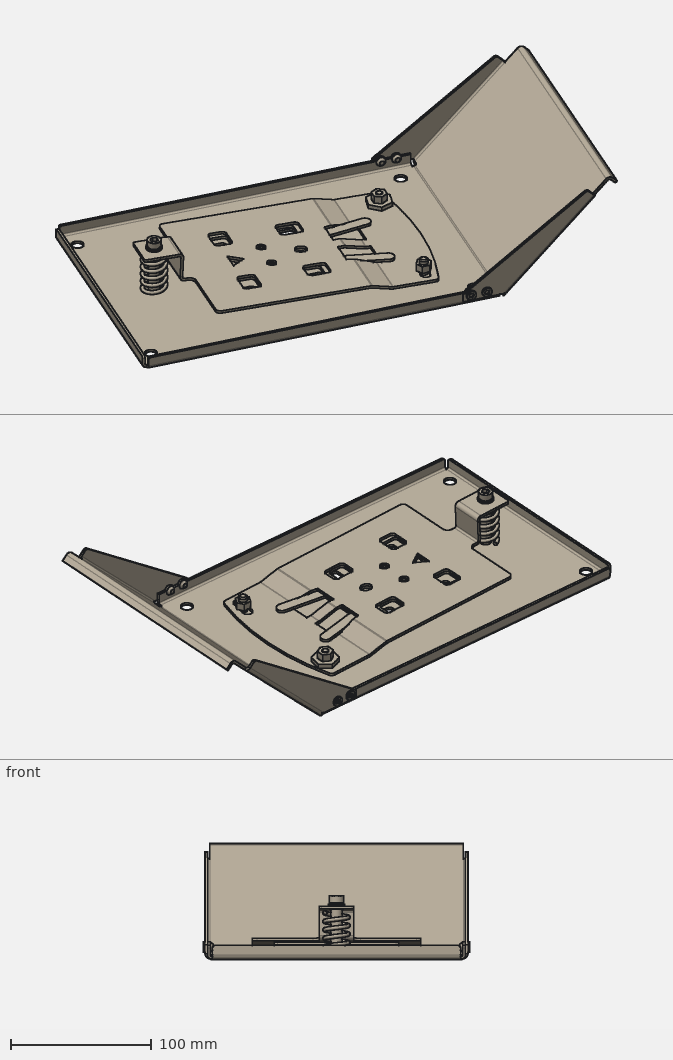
import cadquery as cq
import math

SHEET = 1.98
BEND_INSIDE = 1.5
BEND_OUTSIDE = BEND_INSIDE + SHEET
CUT_DEPTH = 72

TOTAL_LENGTH = 359.8
OVERALL_WIDTH = 190.0
TOTAL_HEIGHT = 82.7
LIP_HEIGHT = 10.0
COVER_BEND_Y = 272.5
COVER_ANGLE = 45
TRAY_HALF_WIDTH = 91.7
FLOOR_HALF_WIDTH = TRAY_HALF_WIDTH - BEND_OUTSIDE
GUSSET_HALF_WIDTH = TRAY_HALF_WIDTH + SHEET
COVER_HALF_WIDTH = GUSSET_HALF_WIDTH - BEND_OUTSIDE
FLANGE_START = BEND_OUTSIDE
FLANGE_END = 270.0
FLANGE_CORNER = 1.8
RELIEF_END = 273.0
RELIEF_HALF_WIDTH = 86.7
RELIEF_HEIGHT = 3.5
MOUNT_HOLE_DIAMETER = 9.0
MOUNT_HOLE_X = 75.0
MOUNT_HOLE_Y = (11.5, 257.0)

GUSSET_FRONT_Y = 241.8
GUSSET_FRONT_TOP = 10.5
GUSSET_BOTTOM = 4.3
GUSSET_REAR_Y = 343.0
GUSSET_REAR_HEIGHT = 9.7
GUSSET_CORNER = 2.0
RIVET_Y = (247.5, 259.5)
RIVET_Z = 9.0
RIVET_RADIUS = 3.5
RIVET_HEAD = OVERALL_WIDTH / 2 - GUSSET_HALF_WIDTH
RIVET_CORE_RADIUS = 1.8
RIVET_TAIL = 2.0

WINDOW_SIZE = 13.5
WINDOW_CORNER = 3.0
WINDOW_X = 28.0
REAR_WINDOW_Y = 152.5
FRONT_WINDOW_Y = 102.5
REAR_WINDOW_EXTRA = 4.0
FRONT_WINDOW_EXTRA = 3.2
TRAY_OPENING_X = 30.0
TRAY_OPENING_Y = (102.5, 154.7)
TRAY_OPENING_WIDTH = 22.3
TRAY_OPENING_LENGTH = 16.2

PLATE_TILT = 2.4
PLATE_REAR_Y = 244.3
PLATE_HALF_WIDTH = 60.0
PLATE_SIDE_REAR_Y = 235.5
PLATE_FRONT_Y = 67.0
PLATE_CORNER = 3.2
RAMP_REAR_Y = 200.5
RAMP_FRONT_Y = 184.2
RAMP_RISE = 4.0
LEG_Y = 56.5
TAB_FRONT_Y = 28.8
TAB_RISE = 25.2
TAB_HALF_WIDTH = 12.2
TAB_CORNER = 1.5
NECK_FILLET = 4.5

CLIP_THICKNESS = RAMP_RISE - SHEET
CLIP_HALF_WIDTH = 44.2
CLIP_FRONT_Y = 87.5
CLIP_CORNER = 2.0
SLOT_INNER_X = 4.5
SLOT_OUTER_X = 22.3
SLOT_FRONT_Y = 179.0
SLOT_REAR_Y = 204.5
FINGER_WIDTH = 8.3
FINGER_TIP_X = 24.0
FINGER_TIP_Y = 210.8

OVAL_WIDTH = 8.0
OVAL_LENGTH = 9.0
OVAL_Y = 153.0
STUB_X = 10.8
STUB_Y = 126.5
STUB_HOLE_RADIUS = 3.4
STUB_BASE_RADIUS = 3.05
STUB_TOP_RADIUS = 1.5
TRIANGLE_APEX_Y = 109.5
TRIANGLE_BASE_Y = 99.3
TRIANGLE_HALF_BASE = 6.5

STUD_X = 45.5
STUD_Y = 229.5
STUD_RADIUS = 3.2
STUD_CHAMFER = 1.0
STUD_TOP = 14.5
NUT_ACROSS_CORNERS = 11.5
NUT_HEIGHT = 5.8
NUT_SEAT = 5.0
COLLAR_ACROSS_CORNERS = 20.0
COLLAR_HEIGHT = 3.2
COLLAR_TURN = -10
RIGHT_NUT_TURN = 30
STUD_SLOT_LENGTH = 20.0
STUD_CLEARANCE = 0.5
STUD_SLOT_TURN = -9

BOLT_Y = 41.7
BOLT_RADIUS = 4.0
BOLT_FLANGE_RADIUS = 5.8
BOLT_FLANGE_BOTTOM = 38.5
BOLT_FLANGE_HEIGHT = 1.0
BOLT_HEAD_RADIUS = 5.0
BOLT_HEAD_TOP = 45.5
BOLT_HEAD_CHAMFER = 0.7
SOCKET_ACROSS_CORNERS = 5.8
SOCKET_DEPTH = 3.0
BOLT_CLEARANCE = 0.7
SPRING_OUTER_RADIUS = 9.7
SPRING_TOP = 35.0
WIRE_RADIUS = 1.5
SPRING_TURNS = 5
SPRING_START_ANGLE = 195


def left_offset(path, distance):
    """Points of an open path shifted to its left, with mitred corners."""
    directions = []
    for (x0, y0), (x1, y1) in zip(path, path[1:]):
        length = math.hypot(x1 - x0, y1 - y0)
        directions.append(((x1 - x0) / length, (y1 - y0) / length))
    shifted = []
    for i, (x, y) in enumerate(path):
        ax, ay = directions[max(i - 1, 0)]
        bx, by = directions[min(i, len(directions) - 1)]
        scale = distance / (1 + ax * bx + ay * by)
        shifted.append((x - (ay + by) * scale, y + (ax + bx) * scale))
    return shifted


def bent_sheet(path, length, plane):
    """Sheet lying to the left of a path, extruded about the plane, with rounded bends."""
    other_side = left_offset(path, SHEET)
    sheet = cq.Workplane().polyline(path + other_side[::-1]).close().extrude(length / 2, both=True)
    for i in range(1, len(path) - 1):
        (x0, y0), (x1, y1), (x2, y2) = path[i - 1:i + 2]
        turns_left = (x1 - x0) * (y2 - y1) - (y1 - y0) * (x2 - x1) > 0
        inside, outside = (other_side[i], path[i]) if turns_left else (path[i], other_side[i])
        for corner, radius in ((inside, BEND_INSIDE), (outside, BEND_OUTSIDE)):
            nearest = cq.selectors.NearestToPointSelector((*corner, 0))
            sheet = sheet.edges(nearest).fillet(radius)
    return cq.Workplane(sheet.val().moved(cq.Location(plane)))


def both_sides(body):
    """The body together with its mirror image across X = 0."""
    return body.union(body.mirror("YZ"))


def fillet_pair(body, point, radius):
    """Round the edge centred nearest to a point and the one nearest to its mirror point."""
    x, y, z = point
    for side in (x, -x):
        body = body.edges(cq.selectors.NearestToPointSelector((side, y, z))).fillet(radius)
    return body


def window_cutters(extra_length=0, extra_width=0):
    """Four rounded windows; the rear pair may be longer and the front pair wider outward."""
    rear = (
        cq.Workplane().center(WINDOW_X, REAR_WINDOW_Y + extra_length / 2)
        .rect(WINDOW_SIZE, WINDOW_SIZE + extra_length).extrude(CUT_DEPTH, both=True)
    )
    front = (
        cq.Workplane().center(WINDOW_X + extra_width / 2, FRONT_WINDOW_Y)
        .rect(WINDOW_SIZE + extra_width, WINDOW_SIZE).extrude(CUT_DEPTH, both=True)
    )
    return both_sides(rear.union(front).edges("|Z").fillet(WINDOW_CORNER))


def side_box(x_inner, y_start, y_end, z_top):
    """Cutter for everything beyond x_inner on both sides, up to z_top."""
    box = cq.Workplane().box(
        CUT_DEPTH, y_end - y_start, z_top + CUT_DEPTH, centered=False
    ).translate((x_inner, y_start, -CUT_DEPTH))
    return both_sides(box)


def make_spine():
    """Front lip, floor and hooked cover, bent from one strip."""
    crest_z = TOTAL_HEIGHT - BEND_OUTSIDE + BEND_INSIDE * math.sqrt(2)
    crest_y = COVER_BEND_Y + crest_z
    tip_y = TOTAL_LENGTH - SHEET / math.sqrt(2)
    path = [
        (0, LIP_HEIGHT),
        (0, 0),
        (COVER_BEND_Y, 0),
        (crest_y, crest_z),
        (tip_y, crest_z - (tip_y - crest_y)),
    ]
    spine = bent_sheet(path, 2 * COVER_HALF_WIDTH, cq.Plane.named("YZ"))
    spine = spine.cut(side_box(FLOOR_HALF_WIDTH, -3.5, FLANGE_END, LIP_HEIGHT + 3.5))
    return fillet_pair(spine, (FLOOR_HALF_WIDTH, SHEET / 2, LIP_HEIGHT), FLANGE_CORNER)


def make_channel():
    """Floor with a low flange on each side."""
    path = [
        (-TRAY_HALF_WIDTH, LIP_HEIGHT),
        (-TRAY_HALF_WIDTH, 0),
        (TRAY_HALF_WIDTH, 0),
        (TRAY_HALF_WIDTH, LIP_HEIGHT),
    ]
    middle = (FLANGE_START + FLANGE_END) / 2
    channel = bent_sheet(
        path, FLANGE_END - FLANGE_START, cq.Plane.named("XZ", origin=(0, middle, 0))
    )
    return channel.faces("<Y").edges("|X and >Z").fillet(FLANGE_CORNER)


def make_gussets():
    """Side walls of the cover, bent up square to it and trimmed to their outline."""
    tall = GUSSET_REAR_Y
    path = [
        (-GUSSET_HALF_WIDTH, tall),
        (-GUSSET_HALF_WIDTH, 0),
        (GUSSET_HALF_WIDTH, 0),
        (GUSSET_HALF_WIDTH, tall),
    ]
    slope = cq.Plane.named("XZ", origin=(0, COVER_BEND_Y, 0)).rotated((COVER_ANGLE, 0, 0))
    walls = bent_sheet(path, 2 * TOTAL_LENGTH, slope)
    rear_shift = GUSSET_REAR_HEIGHT / math.sqrt(2)
    rear_z = GUSSET_REAR_Y - COVER_BEND_Y
    rear_top = (GUSSET_REAR_Y - rear_shift, rear_z + rear_shift)
    outline = (
        cq.Workplane("YZ")
        .polyline([
            (GUSSET_FRONT_Y, GUSSET_BOTTOM),
            (RELIEF_END, GUSSET_BOTTOM),
            (RELIEF_END, RELIEF_END - COVER_BEND_Y),
            (GUSSET_REAR_Y, rear_z),
            rear_top,
            (GUSSET_FRONT_Y, GUSSET_FRONT_TOP),
        ])
        .close().extrude(2 * GUSSET_HALF_WIDTH, both=True)
        .edges(cq.selectors.NearestToPointSelector((0, *rear_top))).fillet(GUSSET_CORNER)
    )
    return walls.intersect(outline)


def make_rivets():
    """Blind rivets through gusset and flange: hollow outer head, tapered inner tail."""
    centres = [(y, RIVET_Z) for y in RIVET_Y]
    inner_face = TRAY_HALF_WIDTH - SHEET
    head = (
        cq.Workplane("YZ", origin=(GUSSET_HALF_WIDTH, 0, 0)).pushPoints(centres)
        .circle(RIVET_RADIUS).circle(RIVET_CORE_RADIUS).extrude(RIVET_HEAD)
    )
    taper = math.degrees(math.atan((RIVET_RADIUS - RIVET_CORE_RADIUS) / RIVET_TAIL))
    tail = (
        cq.Workplane("YZ", origin=(inner_face, 0, 0)).pushPoints(centres)
        .circle(RIVET_RADIUS).extrude(-RIVET_TAIL, taper=taper)
    )
    shank = (
        cq.Workplane("YZ", origin=(inner_face, 0, 0)).pushPoints(centres)
        .circle(RIVET_RADIUS).extrude(2 * SHEET)
    )
    return both_sides(head.union(shank).union(tail))


def make_stud(x, nut_bottom, nut_turn):
    """Stud fixed to the floor, with its nut."""
    rod = (
        cq.Workplane(origin=(x, STUD_Y, SHEET)).circle(STUD_RADIUS)
        .extrude(STUD_TOP - SHEET).faces(">Z").chamfer(STUD_CHAMFER)
    )
    nut = (
        cq.Workplane().polygon(6, NUT_ACROSS_CORNERS).extrude(NUT_HEIGHT)
        .rotate((0, 0, 0), (0, 0, 1), nut_turn).translate((x, STUD_Y, nut_bottom))
    )
    return rod.union(nut)


def make_tray():
    tray = make_spine().union(make_channel())
    tray = tray.cut(side_box(RELIEF_HALF_WIDTH, FLANGE_END, RELIEF_END, RELIEF_HEIGHT))
    tray = tray.union(make_gussets()).union(make_rivets())
    mount_points = [(x, y) for x in (-MOUNT_HOLE_X, MOUNT_HOLE_X) for y in MOUNT_HOLE_Y]
    holes = cq.Workplane().pushPoints(mount_points).circle(MOUNT_HOLE_DIAMETER / 2).extrude(SHEET)
    opening_points = [(x, y) for x in (-TRAY_OPENING_X, TRAY_OPENING_X) for y in TRAY_OPENING_Y]
    openings = (
        cq.Workplane().pushPoints(opening_points).rect(TRAY_OPENING_WIDTH, TRAY_OPENING_LENGTH)
        .extrude(SHEET).edges("|Z").fillet(WINDOW_CORNER)
    )
    tray = tray.cut(holes).cut(openings)
    tray = tray.union(make_stud(-STUD_X, NUT_SEAT + COLLAR_HEIGHT, 0))
    return tray.union(make_stud(STUD_X, NUT_SEAT, RIGHT_NUT_TURN))


def make_plate_outline():
    """Plan outline of the plate as a tall block."""
    outline = (
        cq.Workplane()
        .moveTo(-TAB_HALF_WIDTH, TAB_FRONT_Y)
        .lineTo(TAB_HALF_WIDTH, TAB_FRONT_Y)
        .lineTo(TAB_HALF_WIDTH, PLATE_FRONT_Y)
        .lineTo(PLATE_HALF_WIDTH, PLATE_FRONT_Y)
        .lineTo(PLATE_HALF_WIDTH, PLATE_SIDE_REAR_Y)
        .threePointArc((0, PLATE_REAR_Y), (-PLATE_HALF_WIDTH, PLATE_SIDE_REAR_Y))
        .lineTo(-PLATE_HALF_WIDTH, PLATE_FRONT_Y)
        .lineTo(-TAB_HALF_WIDTH, PLATE_FRONT_Y)
        .close().extrude(CUT_DEPTH, both=True)
    )
    outline = fillet_pair(outline, (TAB_HALF_WIDTH, TAB_FRONT_Y, 0), TAB_CORNER)
    outline = fillet_pair(outline, (TAB_HALF_WIDTH, PLATE_FRONT_Y, 0), NECK_FILLET)
    outline = fillet_pair(outline, (PLATE_HALF_WIDTH, PLATE_FRONT_Y, 0), PLATE_CORNER)
    return fillet_pair(outline, (PLATE_HALF_WIDTH, PLATE_SIDE_REAR_Y, 0), PLATE_CORNER)


def make_finger(height):
    """Round-ended, leaning finger of the +X side, standing on Z = 0."""
    base_x = SLOT_OUTER_X - FINGER_WIDTH / 2
    lean = math.atan2(FINGER_TIP_X - base_x, FINGER_TIP_Y - SLOT_FRONT_Y)
    reach_x = FINGER_WIDTH / 2 * math.sin(lean)
    reach_y = FINGER_WIDTH / 2 * math.cos(lean)
    return (
        cq.Workplane()
        .moveTo(base_x - FINGER_WIDTH / 2, SLOT_FRONT_Y)
        .lineTo(SLOT_OUTER_X, SLOT_FRONT_Y)
        .lineTo(FINGER_TIP_X + reach_y, FINGER_TIP_Y - reach_x)
        .threePointArc(
            (FINGER_TIP_X + reach_x, FINGER_TIP_Y + reach_y),
            (FINGER_TIP_X - reach_y, FINGER_TIP_Y + reach_x),
        )
        .close().extrude(height)
    )


def make_finger_slots():
    """Openings in the ramp: a rectangle widened to let the leaning finger through."""
    slot_length = SLOT_REAR_Y - SLOT_FRONT_Y
    middle_y = (SLOT_FRONT_Y + SLOT_REAR_Y) / 2
    rectangle = (
        cq.Workplane().center((SLOT_INNER_X + SLOT_OUTER_X) / 2, middle_y)
        .rect(SLOT_OUTER_X - SLOT_INNER_X, slot_length).extrude(CUT_DEPTH, both=True)
    )
    up_to_rear = (
        cq.Workplane().center(0, middle_y).rect(2 * PLATE_HALF_WIDTH, slot_length)
        .extrude(CUT_DEPTH, both=True)
    )
    finger_part = make_finger(CUT_DEPTH).translate((0, 0, -CUT_DEPTH / 2)).intersect(up_to_rear)
    return both_sides(rectangle.union(finger_part))


def make_symbol_openings():
    """Oval hole and triangle through plate and clip."""
    oval = (
        cq.Workplane().center(0, OVAL_Y).ellipse(OVAL_WIDTH / 2, OVAL_LENGTH / 2)
        .extrude(CUT_DEPTH)
    )
    triangle = (
        cq.Workplane()
        .polyline([
            (0, TRIANGLE_APEX_Y),
            (TRIANGLE_HALF_BASE, TRIANGLE_BASE_Y),
            (-TRIANGLE_HALF_BASE, TRIANGLE_BASE_Y),
        ])
        .close().extrude(CUT_DEPTH)
    )
    return oval.union(triangle)


def tilt_into_place(body):
    """Tip a level body about the rear edge of the plate and set that edge on the floor."""
    hinge = (0, PLATE_REAR_Y, 0)
    return body.rotate(hinge, (1, PLATE_REAR_Y, 0), -PLATE_TILT).translate((0, 0, SHEET))


def make_plate():
    path = [
        (TAB_FRONT_Y, TAB_RISE),
        (LEG_Y, TAB_RISE),
        (LEG_Y, RAMP_RISE),
        (RAMP_FRONT_Y, RAMP_RISE),
        (RAMP_REAR_Y, 0),
        (PLATE_REAR_Y, 0),
    ]
    sheet = bent_sheet(path, 2 * PLATE_HALF_WIDTH, cq.Plane.named("YZ"))
    plate = sheet.intersect(make_plate_outline()).cut(make_finger_slots())
    plate = plate.cut(window_cutters(REAR_WINDOW_EXTRA, FRONT_WINDOW_EXTRA))
    plate = plate.cut(make_symbol_openings())
    stub_holes = (
        cq.Workplane().pushPoints([(-STUB_X, STUB_Y), (STUB_X, STUB_Y)])
        .circle(STUB_HOLE_RADIUS).extrude(CUT_DEPTH)
    )
    plate = tilt_into_place(plate.cut(stub_holes))

    stud_hole_radius = STUD_RADIUS + STUD_CLEARANCE
    stud_hole = (
        cq.Workplane().center(-STUD_X, STUD_Y).circle(stud_hole_radius).extrude(CUT_DEPTH)
    )
    stud_slot = (
        cq.Workplane().center(STUD_X, STUD_Y)
        .slot2D(STUD_SLOT_LENGTH, 2 * stud_hole_radius, STUD_SLOT_TURN).extrude(CUT_DEPTH)
    )
    bolt_hole = (
        cq.Workplane().center(0, BOLT_Y).circle(BOLT_RADIUS + BOLT_CLEARANCE)
        .extrude(CUT_DEPTH)
    )
    return plate.cut(stud_hole).cut(stud_slot).cut(bolt_hole)


def make_clip():
    pad = (
        cq.Workplane().center(0, (CLIP_FRONT_Y + SLOT_FRONT_Y) / 2)
        .rect(2 * CLIP_HALF_WIDTH, SLOT_FRONT_Y - CLIP_FRONT_Y)
        .extrude(CLIP_THICKNESS).edges("|Z").fillet(CLIP_CORNER)
    )
    pad = pad.cut(window_cutters()).cut(make_symbol_openings())
    stub = (
        cq.Workplane(origin=(STUB_X, STUB_Y, CLIP_THICKNESS)).circle(STUB_BASE_RADIUS)
        .workplane(offset=SHEET).circle(STUB_TOP_RADIUS).loft()
    )
    clip = pad.union(both_sides(make_finger(CLIP_THICKNESS))).union(both_sides(stub))
    return tilt_into_place(clip.translate((0, 0, RAMP_RISE - CLIP_THICKNESS)))


def make_collar():
    """Hexagonal collar around the left stud, between plate and nut."""
    collar = (
        cq.Workplane().polygon(6, COLLAR_ACROSS_CORNERS).circle(STUD_RADIUS).extrude(COLLAR_HEIGHT)
    )
    return collar.rotate((0, 0, 0), (0, 0, 1), COLLAR_TURN).translate((-STUD_X, STUD_Y, NUT_SEAT))


def make_bolt():
    """Flanged socket-head bolt standing on the floor and passing through the tab."""
    head_bottom = BOLT_FLANGE_BOTTOM + BOLT_FLANGE_HEIGHT
    shank = (
        cq.Workplane(origin=(0, BOLT_Y, SHEET)).circle(BOLT_RADIUS).extrude(head_bottom - SHEET)
    )
    flange = (
        cq.Workplane(origin=(0, BOLT_Y, BOLT_FLANGE_BOTTOM)).circle(BOLT_FLANGE_RADIUS)
        .extrude(BOLT_FLANGE_HEIGHT)
    )
    head = (
        cq.Workplane(origin=(0, BOLT_Y, head_bottom)).circle(BOLT_HEAD_RADIUS)
        .extrude(BOLT_HEAD_TOP - head_bottom).faces("<Z").edges().chamfer(BOLT_HEAD_CHAMFER)
    )
    socket = (
        cq.Workplane(origin=(0, BOLT_Y, BOLT_HEAD_TOP)).polygon(6, SOCKET_ACROSS_CORNERS)
        .extrude(-SOCKET_DEPTH)
    )
    return shank.union(flange).union(head).cut(socket)


def make_spring():
    """Round-wire compression spring between floor and tab."""
    coil_radius = SPRING_OUTER_RADIUS - WIRE_RADIUS
    rise = SPRING_TOP - SHEET - 2 * WIRE_RADIUS
    helix = cq.Wire.makeHelix(rise / SPRING_TURNS, rise, coil_radius)
    spring = (
        cq.Workplane("XZ", origin=(coil_radius, 0, 0)).circle(WIRE_RADIUS)
        .sweep(cq.Workplane(helix), isFrenet=True)
        .rotate((0, 0, 0), (0, 0, 1), SPRING_START_ANGLE)
    )
    return spring.translate((0, BOLT_Y, SHEET + WIRE_RADIUS))


tray = make_tray()
plate = make_plate()
clip = make_clip()
collar = make_collar()
bolt = make_bolt()
spring = make_spring()

result = cq.Compound.makeCompound([
    tray.val(),
    plate.val(),
    clip.val(),
    collar.val(),
    bolt.val(),
    spring.val(),
])